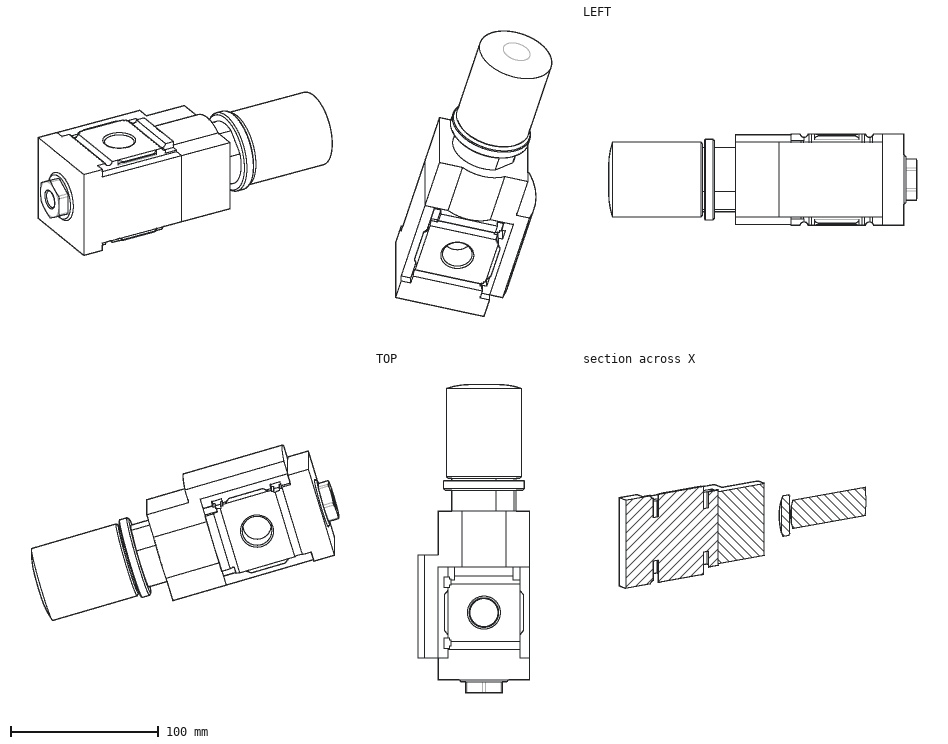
import cadquery as cq
import math


OVERALL_LENGTH = 209.0
OVERALL_WIDTH = 76.0
BLOCK_SIZE = 62.0
HALF_BLOCK = BLOCK_SIZE / 2
COVER_HALF_HEIGHT = 50.8 / 2
HOUSING_LENGTH = 76.5
PLATE_THICKNESS = 14.6

PAD_HALF_WIDTH = 48.7 / 2
PORT_Y = 45.5
GROOVE_OFFSET = 22.2
GROOVE_DIAMETER = 5.5
GROOVE_RISE = 0.5
STEP_FLOOR = 26.5
STEP_HALF_SPACING = 19.9

PORT_DIAMETER = 20.0
PORT_FLOOR_DIAMETER = 19.0
PORT_MOUTH_DIAMETER = 22.4
PORT_DEPTH = 18.8

POCKET_OFFSET = 20.7
POCKET_OUTER_X = -27.2
POCKET_SHOULDER_X = -23.5
POCKET_INNER_X = -22.2
POCKET_WIDTH = 7.1
POCKET_NECK_WIDTH = 4.0
POCKET_FLOOR_RADIUS = 28.0

LIP_REACH = 2.5
LIP_TIP_TOP = 30.1
LIP_TIP_BOTTOM = 29.5
LIP_ROOT_BOTTOM = 27.2
LIP_ROOT_HALF_LENGTH = 30.3 / 2
LIP_TIP_HALF_LENGTH = 24.0 / 2
LIP_HOLLOW = 0.3

PLUG_LENGTH = 8.8
FLANGE_THICKNESS = 1.5
FLANGE_DIAMETER = 33.7
FLANGE_FACE_DIAMETER = 31.0
HEX_ACROSS_FLATS = 24.9
HEX_CORNER_RADIUS = 1.9
HEX_CHAMFER = 0.5
PLUG_BORE_DIAMETER = 11.5
PLUG_MOUTH_DIAMETER = 13.2
PLUG_BORE_DEPTH = 14.6

COVER_REAR = 114.4
BULGE_HALF_WIDTH = 14.8
BULGE_TOP = 30.5
WING_REAR = 84.7
WING_TIP_X = HALF_BLOCK - OVERALL_WIDTH
WING_EDGE_X = -40.1

NECK_DIAMETER = 43.7
NECK_ACROSS_FLATS = 40.1
NECK_FLAT_ANGLE = 45.0
RING_DIAMETER = 55.0
RING_FRONT = 128.4
RING_REAR = 135.3
RING_FRONT_CHAMFER = 1.3
RING_REAR_CHAMFER = 0.6
KNOB_RADIUS = 51.0 / 2
KNOB_FRONT = 136.5
KNOB_CHAMFER = 1.3
KNOB_REAR = OVERALL_LENGTH - PLUG_LENGTH
CROWN_HEIGHT = 2.7
CROWN_FLAT_RADIUS = 9.5

SIDES = (-1, 1)


def block(x_range, y_range, z_range):
    """Box between two limits on each axis, given in either order."""
    limits = [sorted(limit) for limit in (x_range, y_range, z_range)]
    sizes = [high - low for low, high in limits]
    return cq.Workplane("XY").box(*sizes, centered=False).translate([low for low, _ in limits])


def along_y(profile, start, end):
    """Extrude a closed XZ sketch, drawn at Y = 0, from start to end."""
    return profile.extrude(start - end).translate((0, start, 0))


def cylinder_y(diameter, start, end):
    return along_y(cq.Workplane("XZ").circle(diameter / 2), start, end)


def turned(profile):
    """Revolve a closed radius-against-Y sketch about the spindle axis."""
    return profile.revolve(360, (0, 0, 0), (0, 1, 0))


def cone_y(front_diameter, rear_diameter, front, rear):
    profile = cq.Workplane("XY").polyline(
        [(0, front), (front_diameter / 2, front), (rear_diameter / 2, rear), (0, rear)]
    ).close()
    return turned(profile)


def side_ledges():
    """Material cut from the four long edges behind the front plate."""
    cut = cq.Workplane("XY")
    for side in SIDES:
        for level in SIDES:
            cut = cut.add(block(
                (side * PAD_HALF_WIDTH, side * HALF_BLOCK),
                (PLATE_THICKNESS, HOUSING_LENGTH),
                (level * COVER_HALF_HEIGHT, level * HALF_BLOCK),
            ))
    return cut.combine()


def corner_steps():
    """Low steps at the rear corners of the two pads."""
    cut = cq.Workplane("XY")
    for side in SIDES:
        for level in SIDES:
            cut = cut.add(block(
                (side * STEP_HALF_SPACING, side * PAD_HALF_WIDTH),
                (PORT_Y + GROOVE_OFFSET, HOUSING_LENGTH),
                (level * STEP_FLOOR, level * HALF_BLOCK),
            ))
    return cut.combine()


def pad_grooves():
    """Rounded grooves across both pads, in front of and behind the port."""
    cut = cq.Workplane("XY")
    for level in SIDES:
        for end in SIDES:
            centre = (PORT_Y + end * GROOVE_OFFSET, level * (HALF_BLOCK + GROOVE_RISE))
            cut = cut.add(
                cq.Workplane("YZ", origin=(-PAD_HALF_WIDTH, 0, 0)).center(*centre)
                .circle(GROOVE_DIAMETER / 2).extrude(2 * PAD_HALF_WIDTH)
            )
    return cut.combine()


def port():
    """Blind tapered port in the upper pad with a 45 degree mouth chamfer."""
    bore_radius = PORT_DIAMETER / 2
    mouth_radius = PORT_MOUTH_DIAMETER / 2
    profile = cq.Workplane("XZ").polyline([
        (0, HALF_BLOCK),
        (mouth_radius, HALF_BLOCK),
        (bore_radius, HALF_BLOCK - (mouth_radius - bore_radius)),
        (PORT_FLOOR_DIAMETER / 2, HALF_BLOCK - PORT_DEPTH),
        (0, HALF_BLOCK - PORT_DEPTH),
    ]).close()
    return profile.revolve(360, (0, 0, 0), (0, 1, 0)).translate((0, PORT_Y, 0))


def clamp_pocket(centre_y):
    """T-shaped pocket in the -X ledge, cut down to a cylindrical floor."""
    half_width = POCKET_WIDTH / 2
    half_neck = POCKET_NECK_WIDTH / 2
    height = (0, HALF_BLOCK)
    wide = block(
        (POCKET_OUTER_X, POCKET_SHOULDER_X), (centre_y - half_width, centre_y + half_width), height
    )
    neck = block(
        (POCKET_OUTER_X, POCKET_INNER_X), (centre_y - half_neck, centre_y + half_neck), height
    )
    floor = cylinder_y(2 * POCKET_FLOOR_RADIUS, centre_y - half_width, centre_y + half_width)
    return wide.union(neck).cut(floor)


def pad_lip():
    """Tapered lip on the +X side of the upper pad, hollowed underneath."""
    tip_x = PAD_HALF_WIDTH + LIP_REACH
    hollow_mid = (
        PAD_HALF_WIDTH + LIP_HOLLOW * LIP_REACH,
        LIP_TIP_BOTTOM - LIP_HOLLOW * (LIP_TIP_BOTTOM - LIP_ROOT_BOTTOM),
    )
    section = (
        cq.Workplane("XZ").moveTo(PAD_HALF_WIDTH, LIP_ROOT_BOTTOM)
        .threePointArc(hollow_mid, (tip_x, LIP_TIP_BOTTOM))
        .lineTo(tip_x, LIP_TIP_TOP)
        .lineTo(PAD_HALF_WIDTH, HALF_BLOCK)
        .close()
    )
    rib = along_y(section, PORT_Y - LIP_ROOT_HALF_LENGTH, PORT_Y + LIP_ROOT_HALF_LENGTH)
    outline = cq.Workplane("XY").polyline([
        (PAD_HALF_WIDTH, PORT_Y - LIP_ROOT_HALF_LENGTH),
        (tip_x, PORT_Y - LIP_TIP_HALF_LENGTH),
        (tip_x, PORT_Y + LIP_TIP_HALF_LENGTH),
        (PAD_HALF_WIDTH, PORT_Y + LIP_ROOT_HALF_LENGTH),
    ]).close().extrude(HALF_BLOCK)
    return rib.intersect(outline)


def hex_plug():
    """Hex head on a conical flange at the front of the housing."""
    flange = cone_y(FLANGE_FACE_DIAMETER, FLANGE_DIAMETER, -FLANGE_THICKNESS, 0)
    across_corners = HEX_ACROSS_FLATS / math.cos(math.radians(30))
    hexagon = cq.Workplane("XZ").transformed(rotate=(0, 0, 90)).polygon(6, across_corners)
    head = along_y(hexagon, -PLUG_LENGTH, -FLANGE_THICKNESS).edges("|Y").fillet(HEX_CORNER_RADIUS)
    chamfer_end = HEX_CHAMFER - PLUG_LENGTH
    envelope = cone_y(HEX_ACROSS_FLATS, across_corners, -PLUG_LENGTH, chamfer_end).union(
        cylinder_y(across_corners, chamfer_end, -FLANGE_THICKNESS)
    )
    return flange.union(head.intersect(envelope))


def plug_bore():
    mouth_depth = (PLUG_MOUTH_DIAMETER - PLUG_BORE_DIAMETER) / 2
    bore = cylinder_y(PLUG_BORE_DIAMETER, -PLUG_LENGTH, PLUG_BORE_DEPTH - PLUG_LENGTH)
    mouth = cone_y(PLUG_MOUTH_DIAMETER, PLUG_BORE_DIAMETER, -PLUG_LENGTH, mouth_depth - PLUG_LENGTH)
    return bore.union(mouth)


def make_housing():
    span = (-HALF_BLOCK, HALF_BLOCK)
    body = block(span, (0, HOUSING_LENGTH), span)
    body = body.cut(side_ledges()).cut(corner_steps()).cut(pad_grooves())
    body = body.cut(port()).cut(port().mirror("XY"))
    for end in SIDES:
        pocket = clamp_pocket(PORT_Y + end * POCKET_OFFSET)
        body = body.cut(pocket).cut(pocket.mirror("XY"))
    for lip in (pad_lip(), pad_lip().mirror("YZ")):
        body = body.union(lip).union(lip.mirror("XY"))
    return body.union(hex_plug()).cut(plug_bore())


def cover_block():
    """Block behind the housing, bulged above and below around the spindle."""
    profile = (
        cq.Workplane("XZ").moveTo(-HALF_BLOCK, COVER_HALF_HEIGHT)
        .lineTo(-BULGE_HALF_WIDTH, COVER_HALF_HEIGHT)
        .threePointArc((0, BULGE_TOP), (BULGE_HALF_WIDTH, COVER_HALF_HEIGHT))
        .lineTo(HALF_BLOCK, COVER_HALF_HEIGHT)
        .lineTo(HALF_BLOCK, -COVER_HALF_HEIGHT)
        .lineTo(BULGE_HALF_WIDTH, -COVER_HALF_HEIGHT)
        .threePointArc((0, -BULGE_TOP), (-BULGE_HALF_WIDTH, -COVER_HALF_HEIGHT))
        .lineTo(-HALF_BLOCK, -COVER_HALF_HEIGHT)
        .close()
    )
    return along_y(profile, HOUSING_LENGTH, COVER_REAR)


def cover_wing():
    """Crowned wing that covers the -X side of the housing."""
    profile = (
        cq.Workplane("XZ").moveTo(-HALF_BLOCK, COVER_HALF_HEIGHT)
        .lineTo(WING_EDGE_X, COVER_HALF_HEIGHT)
        .threePointArc((WING_TIP_X, 0), (WING_EDGE_X, -COVER_HALF_HEIGHT))
        .lineTo(-HALF_BLOCK, -COVER_HALF_HEIGHT)
        .close()
    )
    return along_y(profile, PLATE_THICKNESS, WING_REAR)


def neck():
    """Round neck with one pair of parallel flats."""
    length = KNOB_FRONT - COVER_REAR
    flats = (
        cq.Workplane("XY").box(NECK_DIAMETER, length, NECK_ACROSS_FLATS)
        .rotate((0, 0, 0), (0, 1, 0), NECK_FLAT_ANGLE)
        .translate((0, COVER_REAR + length / 2, 0))
    )
    return cylinder_y(NECK_DIAMETER, COVER_REAR, KNOB_FRONT).intersect(flats)


def ring():
    collar = cylinder_y(RING_DIAMETER, RING_FRONT, RING_REAR)
    return collar.faces("<Y").chamfer(RING_FRONT_CHAMFER).faces(">Y").chamfer(RING_REAR_CHAMFER)


def knob():
    """Adjusting knob with a chamfered front rim and a crowned rear end."""
    crown_width = KNOB_RADIUS - CROWN_FLAT_RADIUS
    crown_radius = (crown_width ** 2 + CROWN_HEIGHT ** 2) / (2 * CROWN_HEIGHT)
    crown_mid = (
        CROWN_FLAT_RADIUS + crown_width / 2,
        KNOB_REAR - crown_radius + math.sqrt(crown_radius ** 2 - (crown_width / 2) ** 2),
    )
    profile = (
        cq.Workplane("XY").moveTo(0, KNOB_FRONT)
        .lineTo(KNOB_RADIUS - KNOB_CHAMFER, KNOB_FRONT)
        .lineTo(KNOB_RADIUS, KNOB_FRONT + KNOB_CHAMFER)
        .lineTo(KNOB_RADIUS, KNOB_REAR - CROWN_HEIGHT)
        .threePointArc(crown_mid, (CROWN_FLAT_RADIUS, KNOB_REAR))
        .lineTo(0, KNOB_REAR)
        .close()
    )
    return turned(profile)


def make_cover():
    return cover_block().union(cover_wing()).union(neck()).union(ring()).union(knob())


housing = make_housing()
cover = make_cover()
result = cq.Compound.makeCompound([housing.solids().val(), cover.solids().val()])